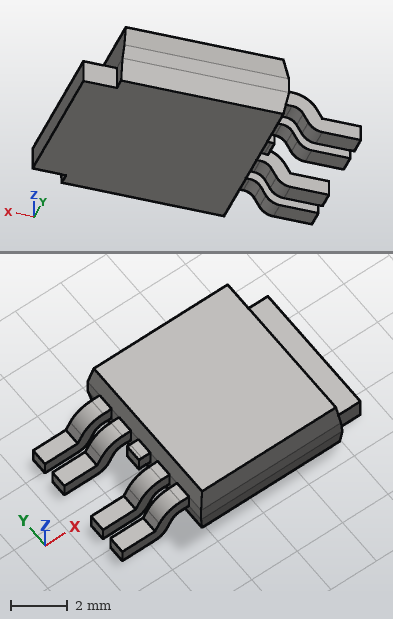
import cadquery as cq
import math

total_length = 10.41
body_width = 6.72
body_height = 2.39

body_front = 2.94
body_back = 9.16
side_inset = 0.16
back_inset = 0.18

lead_thickness = 0.6
lead_width = 0.71
lead_pitch = 1.15
shoulder_x = 2.57
stub_front = 2.44
shoulder_radius = 1.08
bend_angle = math.radians(60)
band_bottom = 0.87
band_top = band_bottom + lead_thickness

tab_width = 5.49


def body_section(z, inset, back):
    """Rectangular body outline at height z, drawn in from the front and sides by inset."""
    front = body_front + inset
    width = body_width - 2 * inset
    return (
        cq.Workplane("XY", origin=((front + back) / 2, 0, z))
        .rect(back - front, width)
        .wires()
        .val()
    )


def make_body():
    back_slope = back_inset / (body_height - band_bottom)
    band_top_back = body_back - back_slope * lead_thickness
    sections = [
        body_section(0, side_inset, body_back),
        body_section(band_bottom, 0, body_back),
        body_section(band_top, 0, band_top_back),
        body_section(body_height, side_inset, body_back - back_inset),
    ]
    body = cq.Workplane("XY")
    for lower, upper in zip(sections, sections[1:]):
        body = body.union(cq.Workplane(cq.Solid.makeLoft([lower, upper], True)))
    return body


def make_lead(y):
    """Constant-thickness gull-wing lead, centred on y."""
    bend_center_z = band_top - shoulder_radius
    inner_radius = shoulder_radius - lead_thickness

    def shoulder_point(radius, angle):
        return (
            shoulder_x - radius * math.sin(angle),
            bend_center_z + radius * math.cos(angle),
        )

    outer_end_x, outer_end_z = shoulder_point(shoulder_radius, bend_angle)
    corner_x = outer_end_x - (outer_end_z - lead_thickness) / math.tan(bend_angle)

    def heel_point(angle):
        return (
            corner_x + lead_thickness * math.sin(angle),
            lead_thickness - lead_thickness * math.cos(angle),
        )

    return (
        cq.Workplane("XZ", origin=(0, y + lead_width / 2, 0))
        .moveTo(0, 0)
        .lineTo(corner_x, 0)
        .threePointArc(heel_point(bend_angle / 2), heel_point(bend_angle))
        .lineTo(*shoulder_point(inner_radius, bend_angle))
        .threePointArc(shoulder_point(inner_radius, bend_angle / 2), (shoulder_x, band_bottom))
        .lineTo(body_front, band_bottom)
        .lineTo(body_front, band_top)
        .lineTo(shoulder_x, band_top)
        .threePointArc(
            shoulder_point(shoulder_radius, bend_angle / 2), (outer_end_x, outer_end_z)
        )
        .lineTo(corner_x, lead_thickness)
        .lineTo(0, lead_thickness)
        .close()
        .extrude(lead_width)
    )


def make_stub():
    """Middle lead, cropped just beyond the start of its shoulder bend."""
    crop = cq.Workplane("XY").box(
        body_front - stub_front, lead_width, body_height, centered=(False, True, False)
    )
    return make_lead(0).intersect(crop.translate((stub_front, 0, 0)))


def make_tab():
    return (
        cq.Workplane("XY")
        .box(total_length - body_back, tab_width, band_bottom, centered=(False, True, False))
        .translate((body_back, 0, 0))
    )


result = make_body().union(make_tab()).union(make_stub())
for pitch_count in (-2, -1, 1, 2):
    result = result.union(make_lead(pitch_count * lead_pitch))